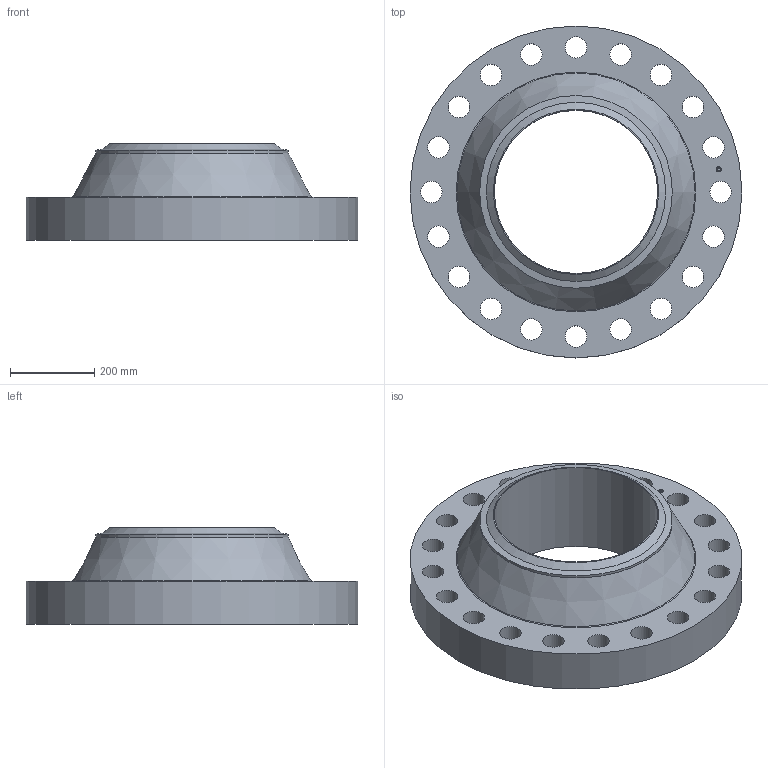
import cadquery as cq
import math

flange_diameter = 787.4
flange_thickness = 101.6
overall_height = 228.6
bore_diameter = 387.4

hub_base_diameter = 565.2
weld_end_diameter = 457.2
weld_end_length = 6.4
hub_root_fillet = 3.0
root_face_width = 2.4
steep_bevel_drop = 12.7
steep_bevel_angle = 37.5
shallow_bevel_angle = 10.0

bolt_count = 20
bolt_spacing_angle = 360.0 / bolt_count
bolt_circle_diameter = 685.8
bolt_hole_diameter = 50.8

small_hole_diameter = 7.0
small_hole_depth = 25.0
counterbore_diameter = 12.4
counterbore_depth = 3.0
small_hole_angle = bolt_spacing_angle / 2


def on_bolt_circle(angle):
    """Point on the bolt circle at an angle in degrees from +X."""
    radius = bolt_circle_diameter / 2
    return (radius * math.cos(math.radians(angle)), radius * math.sin(math.radians(angle)))


def make_body():
    """Revolve the half section of the flange, hub and double-bevelled weld end."""
    bore_radius = bore_diameter / 2
    weld_end_radius = weld_end_diameter / 2
    root_face_radius = bore_radius + root_face_width
    bevel_break_radius = root_face_radius + steep_bevel_drop / math.tan(math.radians(steep_bevel_angle))
    bevel_break_z = overall_height - steep_bevel_drop
    shallow_bevel_drop = (weld_end_radius - bevel_break_radius) * math.tan(math.radians(shallow_bevel_angle))
    weld_end_top_z = bevel_break_z - shallow_bevel_drop
    section = (
        cq.Workplane("XZ")
        .moveTo(bore_radius, 0)
        .lineTo(flange_diameter / 2, 0)
        .lineTo(flange_diameter / 2, flange_thickness)
        .lineTo(hub_base_diameter / 2, flange_thickness)
        .lineTo(weld_end_radius, weld_end_top_z - weld_end_length)
        .lineTo(weld_end_radius, weld_end_top_z)
        .lineTo(bevel_break_radius, bevel_break_z)
        .lineTo(root_face_radius, overall_height)
        .lineTo(bore_radius, overall_height)
        .close()
    )
    return section.revolve(360, (0, 0, 0), (0, 1, 0))


def round_hub_root(body):
    """Blend the foot of the hub into the flange face."""
    hub_root = cq.selectors.RadiusNthSelector(-2)
    return body.edges("%CIRCLE").edges(hub_root).fillet(hub_root_fillet)


def drill_bolt_holes(body):
    """Drill the ring of bolt holes through the flange."""
    centres = [on_bolt_circle(i * bolt_spacing_angle) for i in range(bolt_count)]
    drills = cq.Workplane("XY").pushPoints(centres).circle(bolt_hole_diameter / 2).extrude(flange_thickness)
    return body.cut(drills)


def drill_small_hole(body):
    """Drill the counterbored blind hole down from the flange face."""
    return (
        body.copyWorkplane(cq.Workplane("XY", origin=(0, 0, flange_thickness)))
        .pushPoints([on_bolt_circle(small_hole_angle)])
        .cboreHole(small_hole_diameter, counterbore_diameter, counterbore_depth, small_hole_depth)
    )


body = make_body()
body = round_hub_root(body)
body = drill_bolt_holes(body)
result = drill_small_hole(body).solids()